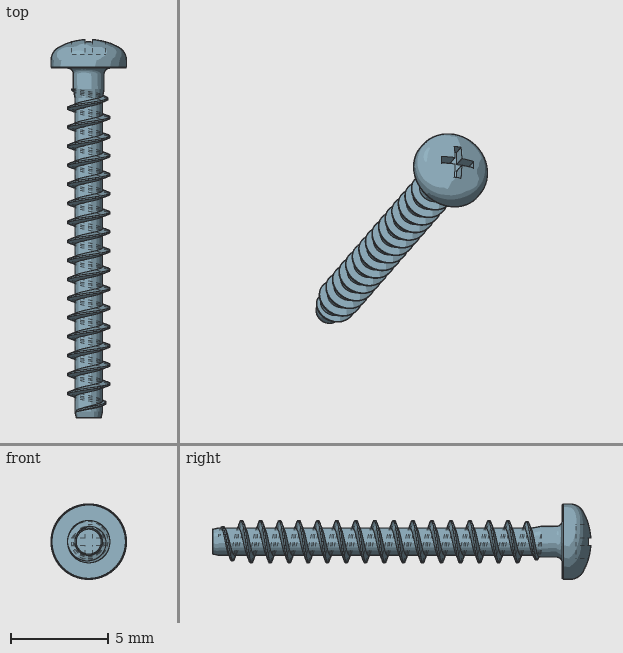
import cadquery as cq
import math

length = 19.47

head_radius = 1.95
head_height = 1.48
rim_start = 1.1
edge_radius = 0.78
rim_chamfer = 0.05

wing_width = 0.37
wing_span = 1.75
recess_depth = 0.78

neck_radius = 0.8
neck_fillet = 0.3
neck_end = 2.55
core_diameter = 1.42
core_radius = core_diameter / 2
core_start = 3.02
tip_radius = 0.65
tip_taper_start = 19.15

thread_radius = 1.1
helix_start = 2.06
helix_length = 17.13
helix_turns = 17.5
fade_in_turns = 1.5
fade_out_turns = 1.0
pitch = helix_length / helix_turns

root_radius = 0.62
start_crest_radius = 0.78
end_crest_radius = 0.68
crest_width = 0.08
root_width = 0.39
end_root_width = 0.2

edge_center_x = head_radius - edge_radius
crown_radius = (edge_center_x**2 + rim_start**2 - edge_radius**2) / (2 * (rim_start - edge_radius))
corner_radius = wing_width / math.sqrt(2)
apex = -(crown_radius - math.sqrt(crown_radius**2 - corner_radius**2))


def on_crown(angle):
    """Profile point on the crown sphere at an angle from the screw axis."""
    return crown_radius * math.sin(angle), apex + crown_radius * (1 - math.cos(angle))


def on_edge(angle):
    """Profile point on the rounded head edge at an angle from the screw axis."""
    return (
        edge_center_x + edge_radius * math.sin(angle),
        apex + rim_start - edge_radius * math.cos(angle),
    )


def make_body():
    """Head, neck and core, revolved in one piece."""
    tangent_angle = math.atan2(edge_center_x, crown_radius - rim_start)
    fillet_middle = neck_fillet * (1 - math.sqrt(0.5))
    profile = (
        cq.Workplane("XZ")
        .moveTo(0, apex)
        .threePointArc(on_crown(tangent_angle / 2), on_crown(tangent_angle))
        .threePointArc(on_edge((tangent_angle + math.pi / 2) / 2), on_edge(math.pi / 2))
        .lineTo(head_radius, head_height - rim_chamfer)
        .lineTo(head_radius - rim_chamfer, head_height)
        .lineTo(neck_radius + neck_fillet, head_height)
        .threePointArc(
            (neck_radius + fillet_middle, head_height + fillet_middle),
            (neck_radius, head_height + neck_fillet),
        )
        .lineTo(neck_radius, neck_end)
        .lineTo(core_radius, core_start)
        .lineTo(core_radius, tip_taper_start)
        .lineTo(tip_radius, length)
        .lineTo(0, length)
        .close()
    )
    return profile.revolve(360, (0, 0, 0), (0, 1, 0))


def thread_section(crest_radius, base_width):
    """Corners (radius, axial offset) of the trapezoidal thread cross-section."""
    return [
        (root_radius, -base_width / 2),
        (crest_radius, -crest_width / 2),
        (crest_radius, crest_width / 2),
        (root_radius, base_width / 2),
    ]


def section_point(corner, turn):
    """Position of a cross-section corner after a number of turns along the helix."""
    radius, offset = corner
    angle = 2 * math.pi * turn
    return cq.Vector(
        radius * math.cos(angle),
        radius * math.sin(angle),
        helix_start + pitch * turn + offset,
    )


def section_cap(section, turn):
    """Flat face closing the ridge at one end."""
    return cq.Face.makeFromWires(cq.Wire.makePolygon([section_point(c, turn) for c in section], close=True))


def corner_helix(start_corner, end_corner, first_turn, turns):
    """Cylindrical or conical helix followed by one corner of the cross-section."""
    start_radius, start_offset = start_corner
    end_radius, end_offset = end_corner
    rise = pitch * turns + end_offset - start_offset
    taper = math.atan2(end_radius - start_radius, rise)
    slant = rise / math.cos(taper)
    if taper:
        helix = cq.Wire.makeHelix(slant / turns, slant, start_radius, angle=math.degrees(taper))
    else:
        helix = cq.Wire.makeHelix(rise / turns, rise, start_radius)
    base_height = helix_start + pitch * first_turn + start_offset
    turned = helix.rotate(cq.Vector(0, 0, 0), cq.Vector(0, 0, 1), 360 * first_turn)
    return turned.translate(cq.Vector(0, 0, base_height))


def ridge_sides(start_section, end_section, first_turn, turns):
    """The four helical faces of a stretch of thread between two cross-sections."""
    helices = [
        corner_helix(start, end, first_turn, turns)
        for start, end in zip(start_section, end_section)
    ]
    return [
        cq.Face.makeRuledSurface(helices[i - 1], helices[i])
        for i in range(len(helices))
    ]


def make_thread():
    """Thread ridge in three stretches: fading in, full height and fading out, cut off at the neck."""
    low = thread_section(start_crest_radius, root_width)
    full = thread_section(thread_radius, root_width)
    sunk = thread_section(end_crest_radius, end_root_width)
    full_turns = helix_turns - fade_in_turns - fade_out_turns
    faces = [section_cap(low, 0), section_cap(sunk, helix_turns)]
    faces += ridge_sides(low, full, 0, fade_in_turns)
    faces += ridge_sides(full, full, fade_in_turns, full_turns)
    faces += ridge_sides(full, sunk, helix_turns - fade_out_turns, fade_out_turns)
    ridge = cq.Workplane(cq.Solid.makeSolid(cq.Shell.makeShell(faces)))
    neck_space = cq.Workplane("XY").circle(head_radius).extrude(neck_end)
    return ridge.cut(neck_space)


def make_recess():
    """Cross of two equal slots, cut into the crown."""
    cutter_height = recess_depth - apex
    wing = cq.Workplane("XY", origin=(0, 0, apex)).rect(wing_span, wing_width).extrude(cutter_height)
    return wing.union(wing.rotate((0, 0, 0), (0, 0, 1), 90))


screw = make_body().union(make_thread()).cut(make_recess())
result = screw.rotate((0, 0, 0), (1, 0, 0), 90)